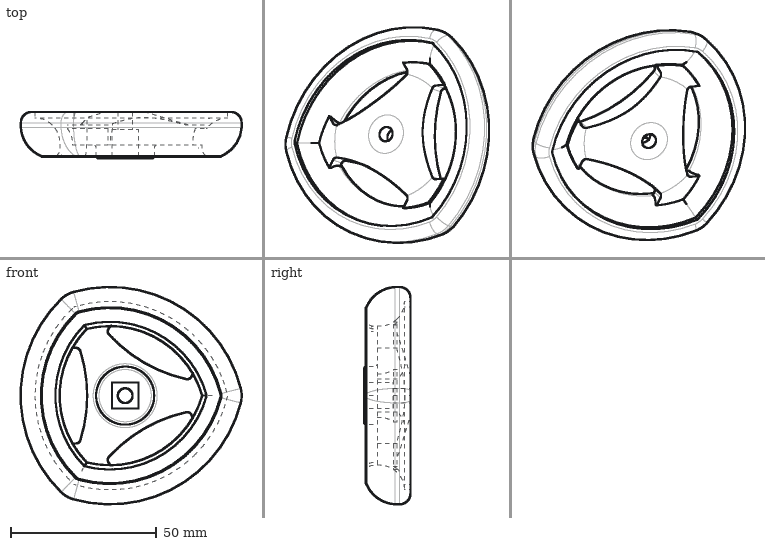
import cadquery as cq
import math

LOBES = 3
FULL_TURN = 360
ORIGIN = (0, 0, 0)
WHEEL_AXIS = (0, 1, 0)
LOBE_STEP = FULL_TURN / LOBES
ARC_CENTRE_OFFSET = 10.5
RIM_ARC_RADIUS = 46.5
CORNER_RADIUS = 10.0

RIM_DEPTH = 15.5
BACK_EDGE_RADIUS = 3.75
BULGE_START_DEPTH = 5.35
BULGE_INSET = 7.0
BULGE_MID_INSET = 1.9
BULGE_MID_DEPTH = 11.0
EDGE_BREAK = 0.3

LAND_ARC_RADIUS = 33.0
FRONT_FLARE_INSET = 1.5
FRONT_FLARE_DEPTH = 3.0
LAND_WIDTH = 1.9
BACK_FLARE_RADIUS = 8.5

WEB_FRONT = 11.4
WEB_CONE_INNER_RADIUS = 6.7
WEB_CONE_OUTER_RADIUS = 22.0
WEB_CONE_DEPTH = 4.6
WEB_OVERLAP = 1.5

WINDOW_INNER_DISTANCE = 13.1
WINDOW_ARC_RADIUS = 51.0
WINDOW_HALF_LENGTH = 16.4
WINDOW_CORNER_RADIUS = 1.5

HUB_DIAMETER = 20.0
HUB_FRONT_DEPTH = 16.02
HUB_EDGE_RADIUS = 1.0
SQUARE_SIZE = 9.0
SQUARE_DEPTH = 10.0
BORE_DIAMETER = 5.0

LAND_FRONT = RIM_DEPTH - FRONT_FLARE_DEPTH
LAND_BACK = LAND_FRONT - LAND_WIDTH
WEB_ARC_RADIUS = LAND_ARC_RADIUS + WEB_OVERLAP


def corner_distance(arc_radius):
    """Distance from the wheel axis to the corners where arcs of this radius meet."""
    half_angle = math.radians(LOBE_STEP / 2)
    along = ARC_CENTRE_OFFSET * math.cos(half_angle)
    across = ARC_CENTRE_OFFSET * math.sin(half_angle)
    return math.sqrt(arc_radius**2 - across**2) - along


def polar(distance, angle):
    """Cartesian point at a distance and an angle in degrees."""
    radians = math.radians(angle)
    return (distance * math.cos(radians), distance * math.sin(radians))


def rounding_setback(radius):
    """How far the middle of a quarter-circle rounding lies inside each side of its corner."""
    return radius * (1 - math.sqrt(0.5))


def around_axis(shape, angle):
    """Turn a shape about the wheel axis, counterclockwise as seen from the front."""
    return shape.rotate(ORIGIN, WHEEL_AXIS, -angle)


def front_plane(depth):
    """Sketch plane facing forward: local x is X and local y is Z."""
    return cq.Workplane("XZ", origin=(0, -depth, 0))


def lobed_outline(depth, arc_radius):
    """Sharp-cornered three-arc outline at the given depth."""
    corner = corner_distance(arc_radius)
    outline = front_plane(depth).moveTo(*polar(corner, 0))
    for side in range(LOBES):
        middle_angle = (side + 0.5) * LOBE_STEP
        middle = polar(arc_radius - ARC_CENTRE_OFFSET, middle_angle)
        outline = outline.threePointArc(middle, polar(corner, (side + 1) * LOBE_STEP))
    return outline.close()


def revolved_rim(radius, pivot, sweep):
    """Rim section of the given outer radius swept about a pivot, centred on the +X direction."""
    break_start = RIM_DEPTH - EDGE_BREAK
    bulge_end = radius - BULGE_INSET
    setback = rounding_setback(BACK_EDGE_RADIUS)
    section = (
        cq.Workplane("XY")
        .lineTo(radius - BACK_EDGE_RADIUS, 0)
        .threePointArc((radius - setback, -setback), (radius, -BACK_EDGE_RADIUS))
        .lineTo(radius, -BULGE_START_DEPTH)
        .threePointArc((radius - BULGE_MID_INSET, -BULGE_MID_DEPTH), (bulge_end, -break_start))
        .lineTo(bulge_end - EDGE_BREAK, -RIM_DEPTH)
        .lineTo(0, -RIM_DEPTH)
        .close()
    )
    solid = section.revolve(sweep, ORIGIN, WHEEL_AXIS)
    return solid.rotate(ORIGIN, WHEEL_AXIS, -sweep / 2).translate((pivot, 0, 0))


def make_blank():
    """Solid rim: three wide arc sectors joined by three corner sectors."""
    pivot = corner_distance(RIM_ARC_RADIUS - CORNER_RADIUS)
    corner_x, corner_z = polar(pivot, LOBE_STEP / 2)
    side_sweep = 2 * math.degrees(math.atan2(corner_z, corner_x + ARC_CENTRE_OFFSET))
    corner_sweep = LOBE_STEP - side_sweep
    side = revolved_rim(RIM_ARC_RADIUS, -ARC_CENTRE_OFFSET, side_sweep)
    corner = revolved_rim(CORNER_RADIUS, pivot, corner_sweep)
    blank = around_axis(side, LOBE_STEP / 2)
    for lobe in range(1, LOBES):
        blank = blank.union(around_axis(side, (lobe + 0.5) * LOBE_STEP))
    for lobe in range(LOBES):
        blank = blank.union(around_axis(corner, lobe * LOBE_STEP))
    return blank


def flare_middle(inset, depth):
    """Middle of an arc that leaves the land tangentially, as (inset, depth) from the land's edge."""
    radius = (inset**2 + depth**2) / (2 * inset)
    half_angle = math.asin(depth / radius) / 2
    return (radius * (1 - math.cos(half_angle)), radius * math.sin(half_angle))


def make_opening():
    """Space inside the rim: the overlap of one revolved body per lobe side."""
    front_inset, front_depth = flare_middle(FRONT_FLARE_INSET, FRONT_FLARE_DEPTH)
    radius = LAND_ARC_RADIUS
    back_radius = radius + BACK_FLARE_RADIUS
    setback = rounding_setback(BACK_FLARE_RADIUS)
    middle_rise = BACK_FLARE_RADIUS * math.sqrt(0.5)
    section = (
        cq.Workplane("XY")
        .lineTo(back_radius, 0)
        .lineTo(back_radius, BACK_FLARE_RADIUS - LAND_BACK)
        .threePointArc(
            (radius + setback, middle_rise - LAND_BACK),
            (radius, -LAND_BACK),
        )
        .lineTo(radius, -LAND_FRONT)
        .threePointArc(
            (radius + front_inset, -LAND_FRONT - front_depth),
            (radius + FRONT_FLARE_INSET, -RIM_DEPTH),
        )
        .lineTo(0, -RIM_DEPTH)
        .close()
    )
    body = section.revolve(FULL_TURN, ORIGIN, WHEEL_AXIS).translate((-ARC_CENTRE_OFFSET, 0, 0))
    opening = body
    for lobe in range(1, LOBES):
        opening = opening.intersect(around_axis(body, lobe * LOBE_STEP))
    return around_axis(opening, LOBE_STEP / 2)


def make_window():
    """Window cutter on the +X side; it reaches past the web, so the rim's land closes the window."""
    bow = WINDOW_ARC_RADIUS - math.sqrt(WINDOW_ARC_RADIUS**2 - WINDOW_HALF_LENGTH**2)
    end_x = WINDOW_INNER_DISTANCE + bow
    window = (
        front_plane(0)
        .moveTo(RIM_ARC_RADIUS, -WINDOW_HALF_LENGTH)
        .lineTo(RIM_ARC_RADIUS, WINDOW_HALF_LENGTH)
        .lineTo(end_x, WINDOW_HALF_LENGTH)
        .threePointArc((WINDOW_INNER_DISTANCE, 0), (end_x, -WINDOW_HALF_LENGTH))
        .close()
        .extrude(WEB_FRONT)
    )
    inner_corners = cq.selectors.BoxSelector(
        (0, -WEB_FRONT, -RIM_ARC_RADIUS), (RIM_ARC_RADIUS / 2, 0, RIM_ARC_RADIUS)
    )
    return window.edges("|Y").edges(inner_corners).fillet(WINDOW_CORNER_RADIUS)


def make_web():
    """Lobed web with a flat front, a conical back and one window per side."""
    disc = (
        cq.Workplane("XY")
        .moveTo(0, -WEB_FRONT)
        .lineTo(RIM_ARC_RADIUS, -WEB_FRONT)
        .lineTo(RIM_ARC_RADIUS, -WEB_CONE_DEPTH)
        .lineTo(WEB_CONE_OUTER_RADIUS, -WEB_CONE_DEPTH)
        .lineTo(WEB_CONE_INNER_RADIUS, 0)
        .lineTo(0, 0)
        .close()
        .revolve(FULL_TURN, ORIGIN, WHEEL_AXIS)
    )
    web = lobed_outline(0, WEB_ARC_RADIUS).extrude(WEB_FRONT).intersect(disc)
    window = make_window()
    for lobe in range(LOBES):
        web = web.cut(around_axis(window, (lobe + 0.5) * LOBE_STEP))
    return web


def make_hub():
    """Hub boss with a rounded front edge and a concave fillet onto the web."""
    radius = HUB_DIAMETER / 2
    root_radius = radius + HUB_EDGE_RADIUS
    face_radius = radius - HUB_EDGE_RADIUS
    setback = rounding_setback(HUB_EDGE_RADIUS)
    embedded_depth = WEB_FRONT - HUB_EDGE_RADIUS
    section = (
        cq.Workplane("XY")
        .moveTo(0, -embedded_depth)
        .lineTo(root_radius, -embedded_depth)
        .lineTo(root_radius, -WEB_FRONT)
        .threePointArc((radius + setback, -WEB_FRONT - setback), (radius, -WEB_FRONT - HUB_EDGE_RADIUS))
        .lineTo(radius, -HUB_FRONT_DEPTH + HUB_EDGE_RADIUS)
        .threePointArc((radius - setback, -HUB_FRONT_DEPTH + setback), (face_radius, -HUB_FRONT_DEPTH))
        .lineTo(0, -HUB_FRONT_DEPTH)
        .close()
    )
    return section.revolve(FULL_TURN, ORIGIN, WHEEL_AXIS)


def make_wheel():
    """Whole wheel, with a square socket in the hub and a bore right through it."""
    wheel = make_blank().cut(make_opening()).union(make_web()).union(make_hub())
    square_floor = front_plane(HUB_FRONT_DEPTH - SQUARE_DEPTH)
    square = square_floor.rect(SQUARE_SIZE, SQUARE_SIZE).extrude(SQUARE_DEPTH)
    bore = front_plane(0).circle(BORE_DIAMETER / 2).extrude(HUB_FRONT_DEPTH)
    return wheel.cut(square).cut(bore)


result = make_wheel()